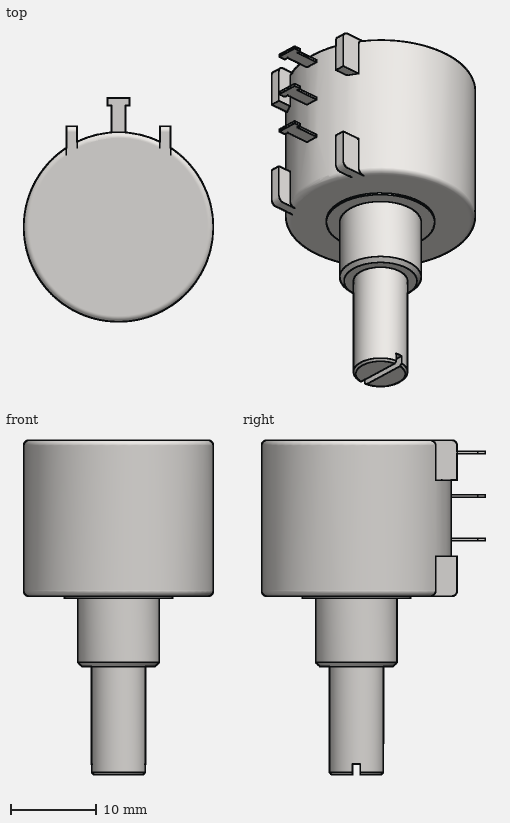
import cadquery as cq

total_height = 39.22
total_depth = 26.25

body_diameter = 22.25
body_radius = body_diameter / 2
body_height = 18.3
body_fillet = 0.65
body_bottom = total_height - body_height

shoulder_radius = 6.35
shoulder_height = 0.25

bushing_radius = 4.8
bushing_bottom = 12.65
bushing_chamfer = 0.5

shaft_radius = 3.18
shaft_chamfer = 0.27
slot_width = 0.85
slot_depth = 1.25

lug_width = 1.25
lug_height = 4.7
lug_spacing = 10.95
lug_inner_y = 7.85
lug_outer_y = 11.8
lug_fillet = body_fillet

terminal_count = 3
terminal_pitch = 5.1
top_terminal_depth = 1.45
terminal_thickness = 0.3
terminal_width = 1.65
terminal_inner_y = 9.8
terminal_outer_y = total_depth - body_radius
head_width = 2.63
head_length = 0.9


def cylinder(radius, bottom, top):
    return cq.Workplane("XY").workplane(offset=bottom).circle(radius).extrude(top - bottom)


def block(width, y_start, y_end, bottom, height):
    """Block centred on X = 0 between two Y positions."""
    return (
        cq.Workplane("XY")
        .box(width, y_end - y_start, height, centered=(True, False, False))
        .translate((0, y_start, bottom))
    )


def make_lug(bottom, rounded_edge):
    """Lug with its outer corner rounded at the end face of the body."""
    lug = block(lug_width, lug_inner_y, lug_outer_y, bottom, lug_height)
    return lug.faces(">Y").edges(rounded_edge).fillet(lug_fillet)


def make_terminal(middle_z):
    bottom = middle_z - terminal_thickness / 2
    stem = block(terminal_width, terminal_inner_y, terminal_outer_y, bottom, terminal_thickness)
    head_start = terminal_outer_y - head_length
    head = block(head_width, head_start, terminal_outer_y, bottom, terminal_thickness)
    return stem.union(head)


body = cylinder(body_radius, body_bottom, total_height).edges().fillet(body_fillet)
shoulder = cylinder(shoulder_radius, body_bottom - shoulder_height, body_bottom)
bushing = cylinder(bushing_radius, bushing_bottom, body_bottom)
bushing = bushing.faces("<Z").chamfer(bushing_chamfer)

shaft = cylinder(shaft_radius, 0, bushing_bottom).faces("<Z").chamfer(shaft_chamfer)
shaft = shaft.cut(block(2 * shaft_radius, -slot_width / 2, slot_width / 2, 0, slot_depth))

result = body.union(shoulder).union(bushing).union(shaft)

top_lug = make_lug(total_height - lug_height, ">Z")
bottom_lug = make_lug(body_bottom, "<Z")
for side in (-1, 1):
    lug_x = side * lug_spacing / 2
    for lug in (top_lug, bottom_lug):
        result = result.union(lug.translate((lug_x, 0, 0)))

for index in range(terminal_count):
    terminal_z = total_height - top_terminal_depth - index * terminal_pitch
    result = result.union(make_terminal(terminal_z))